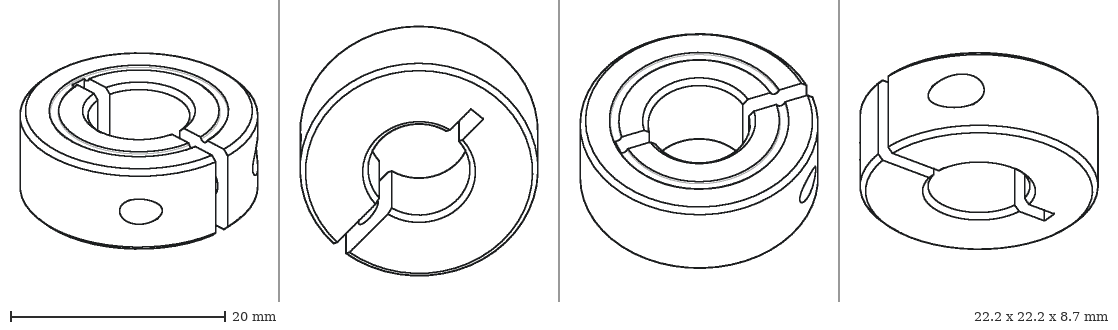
import cadquery as cq

outer_radius = 11.1
height = 8.7
bore_radius = 4.75
edge_chamfer = 0.5
top_z = height / 2

groove_inner_radius = 7.48
groove_outer_radius = 8.37
groove_depth = 0.38
groove_wall_depth = 0.15
groove_wall_taper = 0.09

slit_width = 1.55
slit_end_x = -8.13

screw_x = 7.95
screw_hole_diameter = 2.73
clearance_hole_diameter = 3.6


def make_body():
    ring = cq.Workplane("XY").circle(outer_radius).circle(bore_radius)
    ring = ring.extrude(top_z, both=True)
    return ring.faces("|Z").edges().chamfer(edge_chamfer)


def make_groove():
    middle_radius = (groove_inner_radius + groove_outer_radius) / 2
    wall_end_z = top_z - groove_wall_depth
    profile = (
        cq.Workplane("XZ")
        .moveTo(groove_inner_radius, top_z)
        .lineTo(groove_inner_radius + groove_wall_taper, wall_end_z)
        .threePointArc(
            (middle_radius, top_z - groove_depth),
            (groove_outer_radius - groove_wall_taper, wall_end_z),
        )
        .lineTo(groove_outer_radius, top_z)
        .close()
    )
    return profile.revolve(360, (0, 0, 0), (0, 1, 0))


def make_slit():
    length = outer_radius - slit_end_x
    slit = cq.Workplane("XY").box(length, slit_width, height, centered=(False, True, True))
    return slit.translate((slit_end_x, 0, 0))


def make_screw_hole(diameter, y_direction):
    hole = cq.Workplane("XZ").center(screw_x, 0).circle(diameter / 2)
    return hole.extrude(-y_direction * outer_radius)


result = (
    make_body()
    .cut(make_groove())
    .cut(make_slit())
    .cut(make_screw_hole(screw_hole_diameter, -1))
    .cut(make_screw_hole(clearance_hole_diameter, 1))
)